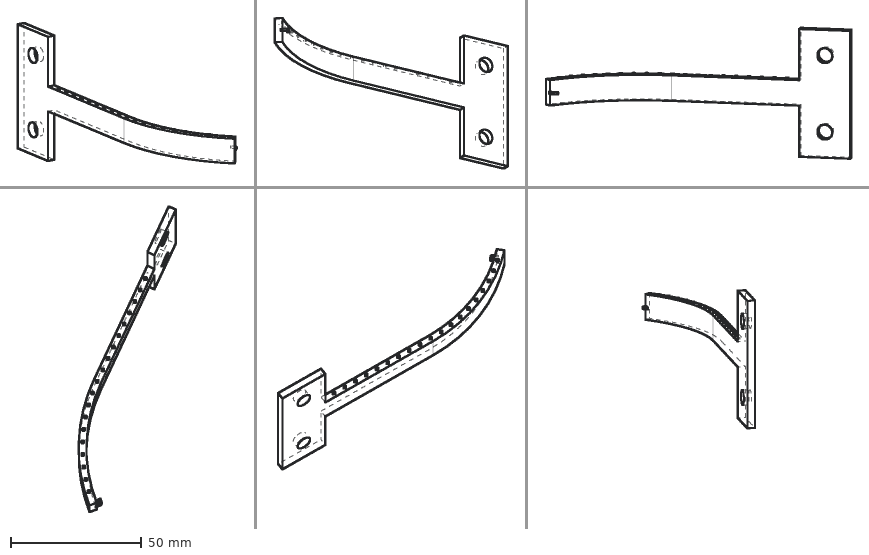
import cadquery as cq
import math

plate_width = 20.0
plate_height = 50.0
thickness = 3.0
hole_diameter = 5.8
hole_spacing = 30.0

overall_length = 116.1
arm_height = 10.0
bend_angle = 45
outer_radius = 65.1
straight_end = overall_length - outer_radius * math.sin(math.radians(bend_angle))
inner_radius = outer_radius - thickness
mid_radius = outer_radius - thickness / 2

pin_count = 19
pin_pitch = 5.0
pin_diameter = 1.0
pin_height = 0.5

hook_diameter = 0.9
hook_reach = 1.9
hook_return = 2.0
hook_bend_radius = 0.6
hook_setback = 0.2
hook_embed = 0.6


def bend_point(radius, degrees):
    """Point on the bend at an angle measured from its tangent start."""
    angle = math.radians(degrees)
    return (straight_end + radius * math.sin(angle), outer_radius - radius * math.cos(angle))


def make_plate():
    return (
        cq.Workplane("XY")
        .box(plate_width, thickness, plate_height, centered=(False, False, True))
        .faces("<Y").workplane(centerOption="CenterOfMass")
        .pushPoints([(0, -hole_spacing / 2), (0, hole_spacing / 2)])
        .hole(hole_diameter)
    )


def make_arm():
    return (
        cq.Workplane("XY").workplane(offset=-arm_height / 2)
        .moveTo(plate_width, 0)
        .lineTo(straight_end, 0)
        .threePointArc(bend_point(outer_radius, bend_angle / 2), bend_point(outer_radius, bend_angle))
        .lineTo(*bend_point(inner_radius, bend_angle))
        .threePointArc(bend_point(inner_radius, bend_angle / 2), (straight_end, thickness))
        .lineTo(plate_width, thickness)
        .close().extrude(arm_height)
    )


def pin_position(index):
    """Place a pin on the arm centreline, equally spaced along its length."""
    x = plate_width + index * pin_pitch
    if x <= straight_end:
        return (x, thickness / 2)
    return bend_point(mid_radius, math.degrees((x - straight_end) / mid_radius))


def make_pins():
    return (
        cq.Workplane("XY")
        .pushPoints([pin_position(i) for i in range(1, pin_count + 1)])
        .circle(pin_diameter / 2).extrude(arm_height / 2 + pin_height)
    )


def make_hook():
    """A bent round wire off the inner face with its free leg pointing back along the arm."""
    angle = math.radians(bend_angle)
    forward = cq.Vector(math.cos(angle), math.sin(angle), 0)
    inward = cq.Vector(-math.sin(angle), math.cos(angle), 0)
    base = cq.Vector(*bend_point(inner_radius, bend_angle)) - forward * hook_setback
    root = base - inward * hook_embed
    corner = base + inward * hook_reach
    bend_start = corner - inward * hook_bend_radius
    bend_end = corner - forward * hook_bend_radius
    tip = corner - forward * hook_return
    path = cq.Wire.assembleEdges([
        cq.Edge.makeLine(root, bend_start),
        cq.Edge.makeTangentArc(bend_start, inward, bend_end),
        cq.Edge.makeLine(bend_end, tip),
    ])
    return cq.Workplane(cq.Plane(root, normal=inward)).circle(hook_diameter / 2).sweep(path)


result = make_plate().union(make_arm()).union(make_pins()).union(make_hook())